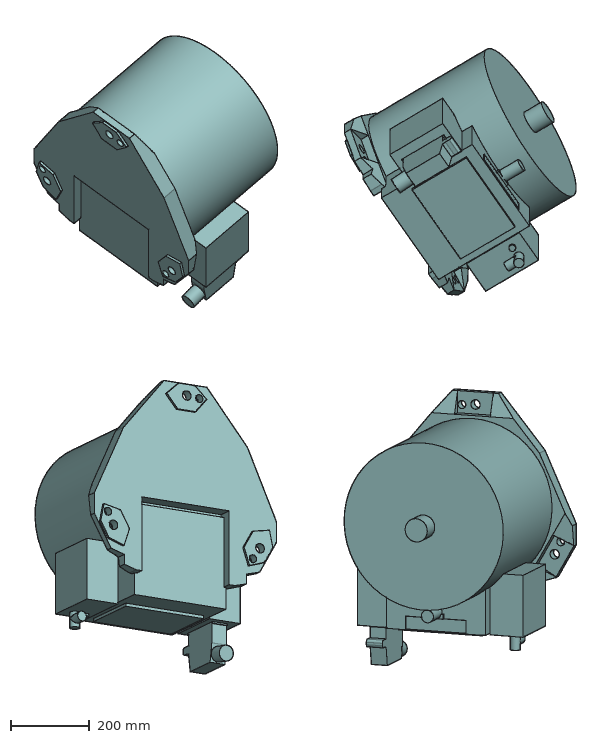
import cadquery as cq
import math


flange_width = 536.0
flange_top = 282.0
flange_thickness = 41.0
half_width = flange_width / 2
notch_half_width = 128.5
notch_top = -36.0
flange_bottom = -232.0
flange_half_outline = [
    (63.0, flange_top),
    (183.0, 139.5),
    (half_width, -45.0),
    (half_width, -100.0),
    (219.0, -185.5),
    (180.0, -196.5),
    (180.0, -222.5),
    (145.0, flange_bottom),
    (notch_half_width, flange_bottom),
]

lug_angles = (0, 120, 240)
lug_thickness = 19.0
lug_relief_start = 224.5
lug_pocket_half_width = 48.5
relief_overrun = 68.5
relief_half_span = 274.0

pad_thickness = 7.0
pad_outline = [(-59.0, 247.0), (-24.0, 278.5), (24.0, 278.5), (59.0, 247.0), (27.0, 210.0), (-27.0, 210.0)]
bolt_position = (0, 249.0)
bolt_radius = 12.0
dowel_position = (37.0, 246.5)
dowel_radius = 10.0

drum_radius = 217.0
drum_end = 391.0
shaft_radius = 30.0
shaft_end = 444.0

housing_half_width = 135.0
housing_front, housing_back = 27.0, 302.0
housing_top, housing_bottom = -47.0, -289.5
cover_half_width = 114.0
cover_front = 106.0
cover_bottom = -298.0
back_plate_half_width = 82.0
back_plate_thickness = 3.0
back_block_half_width = 22.0
back_block_thickness = 8.0
back_block_top, back_block_bottom = -241.5, -254.0
back_plate_top, back_plate_bottom = back_block_bottom, -287.5
back_stub_radius = 16.5
back_stub_end = 364.0
back_stub_z = -238.0

terminal_outer_x = 226.0
terminal_front, terminal_back = 111.0, 271.0
terminal_top, terminal_bottom = -133.0, -293.5

elbow_x, elbow_y = -190.0, 234.0
elbow_radius = 13.0
elbow_bottom = -334.5
elbow_front = 197.0
elbow_axis_z = -312.0
stub_x = -159.5
stub_radius = 9.0
stub_bottom = -300.0

plug_x = 176.5
plug_width = 44.0
plug_front, plug_back = 133.5, 252.5
plug_draft_start, plug_bottom = -349.0, -398.0
plug_draft = 10.0
plug_base_margin = 4.0
latch_back = 280.0
latch_top, latch_bottom = -327.0, -347.0
latch_root_end = 261.5
latch_round = 7.0

part_height = 684.0
part_bottom = flange_top - part_height
cable_radius = 20.5
cable_end_y = 97.0
cable_length = 55.0


def block(x_range, y_range, z_range):
    """Box between two limits along each axis."""
    (x0, x1), (y0, y1), (z0, z1) = x_range, y_range, z_range
    return cq.Workplane("XY").box(x1 - x0, y1 - y0, z1 - z0, centered=False).translate((x0, y0, z0))


def centred(half_size):
    """Limits of a range that is symmetric about zero."""
    return (-half_size, half_size)


def rod(start, end, radius):
    """Solid cylinder between two points."""
    axis = cq.Vector(*end) - cq.Vector(*start)
    return cq.Workplane(cq.Solid.makeCylinder(radius, axis.Length, cq.Vector(*start), axis))


def prism_y(outline, y0, y1):
    """Prism with an outline in x and z, spanning y0 to y1."""
    return cq.Workplane("XZ", origin=(0, y0, 0)).polyline(outline).close().extrude(y0 - y1)


def about_drum(shape, angle):
    """Shape turned about the drum axis."""
    return shape.rotate((0, 0, 0), (0, 1, 0), angle)


def lug_relief():
    """Material removed behind the top lug: a sloping cut and a flat bolt pocket."""
    relief_slope = (flange_thickness - lug_thickness) / (flange_top - lug_relief_start)
    relief_top = flange_top + relief_overrun
    slope_end = lug_thickness - relief_slope * relief_overrun
    wedge_outline = [
        (flange_thickness, lug_relief_start),
        (flange_thickness, relief_top),
        (slope_end, relief_top),
    ]
    wedge = cq.Workplane("YZ").polyline(wedge_outline).close().extrude(relief_half_span, both=True)
    pocket = block(
        centred(lug_pocket_half_width),
        (lug_thickness, flange_thickness),
        (lug_relief_start, relief_top),
    )
    return wedge.union(pocket)


def lug_hole(position, radius):
    """Cutter for a hole through the pad and the flange."""
    x, z = position
    return rod((x, -pad_thickness, z), (x, flange_thickness, z), radius)


def flange():
    """Plate with a bottom notch and three relieved, padded and drilled lugs."""
    notch_corner = [(notch_half_width, notch_top)]
    right_half = flange_half_outline + notch_corner
    left_half = [(-x, z) for x, z in reversed(right_half)]
    plate = prism_y(right_half + left_half, 0, flange_thickness)
    for angle in lug_angles:
        plate = plate.cut(about_drum(lug_relief(), angle))
        plate = plate.union(about_drum(prism_y(pad_outline, -pad_thickness, 0), angle))
        plate = plate.cut(about_drum(lug_hole(bolt_position, bolt_radius), angle))
        plate = plate.cut(about_drum(lug_hole(dowel_position, dowel_radius), angle))
    return plate


def drum():
    """Main cylinder with the shaft end behind it."""
    body = rod((0, flange_thickness, 0), (0, drum_end, 0), drum_radius)
    return body.union(rod((0, drum_end, 0), (0, shaft_end, 0), shaft_radius))


def housing():
    """Central box with a cover below and a cable entry at the back."""
    box = block(
        centred(housing_half_width),
        (housing_front, housing_back),
        (housing_bottom, housing_top),
    )
    cover = block(
        centred(cover_half_width),
        (cover_front, terminal_back),
        (cover_bottom, housing_bottom),
    )
    back_plate = block(
        centred(back_plate_half_width),
        (housing_back, housing_back + back_plate_thickness),
        (back_plate_bottom, back_plate_top),
    )
    back_block = block(
        centred(back_block_half_width),
        (housing_back, housing_back + back_block_thickness),
        (back_block_bottom, back_block_top),
    )
    back_stub = rod((0, housing_back, back_stub_z), (0, back_stub_end, back_stub_z), back_stub_radius)
    return box.union(cover).union(back_plate).union(back_block).union(back_stub)


def terminal_box():
    """Box standing against the right side of the housing."""
    return block(
        (housing_half_width, terminal_outer_x),
        (terminal_front, terminal_back),
        (terminal_bottom, terminal_top),
    )


def elbow():
    """Vertical pipe with a forward branch, and the short stub beside it."""
    pipe = rod((elbow_x, elbow_y, terminal_bottom), (elbow_x, elbow_y, elbow_bottom), elbow_radius)
    branch = rod((elbow_x, elbow_y, elbow_axis_z), (elbow_x, elbow_front, elbow_axis_z), elbow_radius)
    stub = rod((stub_x, elbow_y, terminal_bottom), (stub_x, elbow_y, stub_bottom), stub_radius)
    return pipe.union(branch).union(stub)


def plug():
    """Plug body with drafted lower end, base flange, rounded latch and cable."""
    x_range = (plug_x - plug_width / 2, plug_x + plug_width / 2)
    angle = math.radians(plug_draft)
    taper = (plug_draft_start - plug_bottom) * math.tan(angle)
    body_outline = [
        (plug_front, terminal_bottom),
        (plug_back, terminal_bottom),
        (plug_back, plug_draft_start),
        (plug_back - taper, plug_bottom),
        (plug_front + taper, plug_bottom),
        (plug_front, plug_draft_start),
    ]
    plug_plane = cq.Workplane("YZ", origin=(x_range[0], 0, 0))
    body = plug_plane.polyline(body_outline).close().extrude(plug_width)
    base = block(
        x_range,
        (plug_front - plug_base_margin, plug_back + plug_base_margin),
        (cover_bottom, terminal_bottom),
    )
    latch_outline = [
        (plug_back, latch_top),
        (latch_back, latch_top),
        (latch_back, latch_bottom),
        (latch_root_end, latch_bottom),
        (plug_back, plug_draft_start),
    ]
    latch = (
        plug_plane.polyline(latch_outline)
        .close()
        .extrude(plug_width)
        .edges("|X and >Y")
        .fillet(latch_round)
    )

    cable_end_z = part_bottom + cable_radius * math.cos(angle)
    cable_start_y = cable_end_y + cable_length * math.cos(angle)
    cable_start_z = cable_end_z + cable_length * math.sin(angle)
    cable = rod((plug_x, cable_start_y, cable_start_z), (plug_x, cable_end_y, cable_end_z), cable_radius)
    return body.union(base).union(latch).union(cable)


right_terminal_box = terminal_box()
result = (
    flange()
    .union(drum())
    .union(housing())
    .union(right_terminal_box)
    .union(right_terminal_box.mirror("YZ"))
    .union(elbow())
    .union(plug())
)